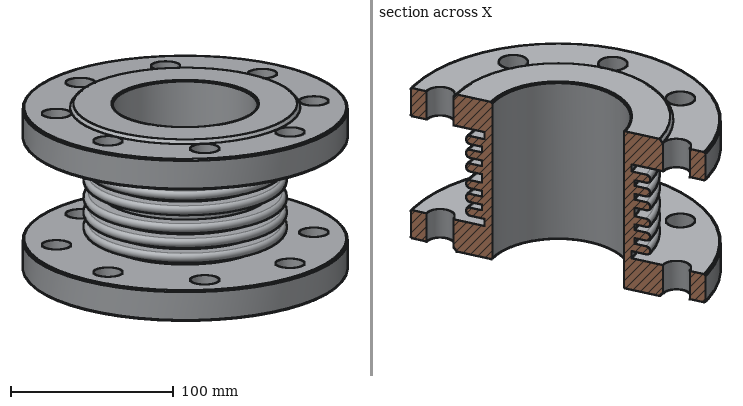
import cadquery as cq

total_height = 110.0
bore_diameter = 89.0
bore_chamfer = 0.8

flange_diameter = 200.0
flange_thickness = 20.0
flange_chamfer = 1.0
raised_face_height = 2.5
raised_face_base_diameter = 141.5
raised_face_top_diameter = 137.5

bolt_hole_count = 8
bolt_hole_diameter = 18.0
bolt_circle_diameter = 160.0

neck_diameter = 100.0
sleeve_diameter = 103.5
convolution_diameter = 125.2
convolution_width = 6.0
convolution_pitch = 9.5
convolutions_per_group = 3
group_gap = 11.5

half_height = total_height / 2
flange_outer_z = half_height - raised_face_height
flange_inner_z = flange_outer_z - flange_thickness
first_convolution_z = group_gap / 2
last_convolution_z = first_convolution_z + (convolutions_per_group - 1) * convolution_pitch


def centred_cylinder(diameter, height):
    return cq.Workplane("XY").circle(diameter / 2).extrude(height / 2, both=True)


def upper_flange():
    """Chamfered disc with a tapered raised sealing face on top."""
    disc = (
        cq.Workplane("XY")
        .workplane(offset=flange_inner_z)
        .circle(flange_diameter / 2)
        .extrude(flange_thickness)
        .edges()
        .chamfer(flange_chamfer)
    )
    raised_face = (
        cq.Workplane("XY")
        .workplane(offset=flange_outer_z)
        .circle(raised_face_base_diameter / 2)
        .workplane(offset=raised_face_height)
        .circle(raised_face_top_diameter / 2)
        .loft(ruled=True)
    )
    bolt_holes = (
        cq.Workplane("XY")
        .polarArray(bolt_circle_diameter / 2, 0, 360, bolt_hole_count)
        .circle(bolt_hole_diameter / 2)
        .extrude(half_height)
    )
    return disc.union(raised_face).cut(bolt_holes)


def convolution(z):
    """Solid ring with a fully rounded rim, centred at height z."""
    round_radius = convolution_width / 2
    rim = convolution_diameter / 2
    shoulder = rim - round_radius
    profile = (
        cq.Workplane("XZ")
        .moveTo(0, z - round_radius)
        .lineTo(shoulder, z - round_radius)
        .threePointArc((rim, z), (shoulder, z + round_radius))
        .lineTo(0, z + round_radius)
        .close()
    )
    return profile.revolve(360, (0, 0, 0), (0, 1, 0))


def bore_cutter():
    """Through bore widened by a chamfer at both ends."""
    bore_radius = bore_diameter / 2
    mouth_radius = bore_radius + bore_chamfer
    chamfer_z = half_height - bore_chamfer
    profile = cq.Workplane("XZ").polyline([
        (0, -half_height),
        (mouth_radius, -half_height),
        (bore_radius, -chamfer_z),
        (bore_radius, chamfer_z),
        (mouth_radius, half_height),
        (0, half_height),
    ]).close()
    return profile.revolve(360, (0, 0, 0), (0, 1, 0))


flange = upper_flange()
body = centred_cylinder(neck_diameter, 2 * flange_outer_z)
body = body.union(centred_cylinder(sleeve_diameter, 2 * last_convolution_z))
body = body.union(flange).union(flange.mirror("XY"))

for index in range(convolutions_per_group):
    convolution_z = first_convolution_z + index * convolution_pitch
    body = body.union(convolution(convolution_z)).union(convolution(-convolution_z))

result = body.cut(bore_cutter())